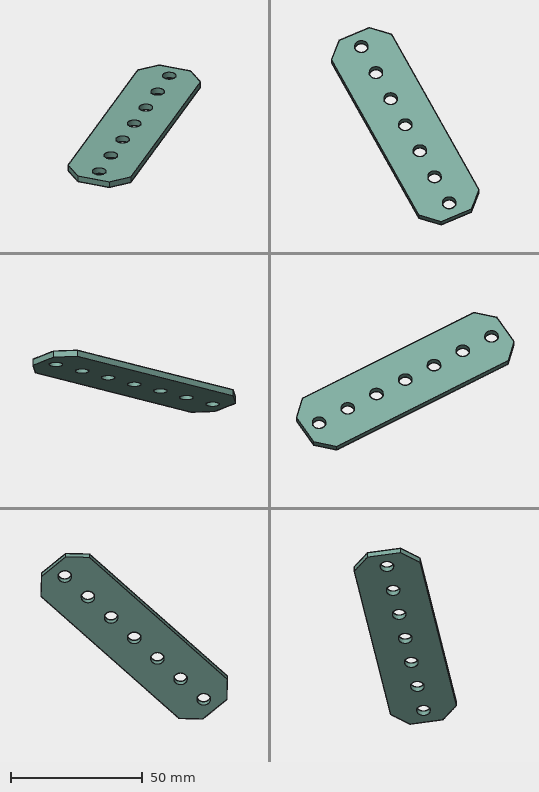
import cadquery as cq

length = 88.4
width = 25.4
thickness = 2.5
corner_cut = width / 4

hole_count = 7
hole_pitch = width / 2
hole_diameter = 5.1

plate = (
    cq.Workplane("XY")
    .box(width, length, thickness)
    .edges("|Z")
    .chamfer(corner_cut)
)

result = (
    plate.faces(">Z")
    .workplane()
    .rarray(0.9, hole_pitch, 1, hole_count)
    .hole(hole_diameter)
)